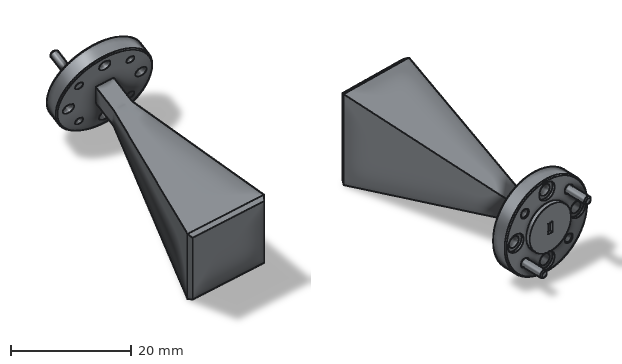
import cadquery as cq
import math

total_length = 46.55
pin_protrusion = 4.7

flange_diameter = 19.05
flange_thickness = 3.25
flange_chamfer = 0.25
boss_diameter = 9.5
boss_height = 0.85

slot_width = 1.02
slot_height = 2.1
slot_depth = 0.6

bolt_circle_radius = 7.1
hole_count = 4
hole_spacing = 360 / hole_count
pin_hole_start = hole_spacing / 2
screw_hole_diameter = 2.25
counterbore_diameter = 3.6
counterbore_depth = 0.5

pin_diameter = 1.6
pin_hole_chamfer = 0.15
pin_chamfer = 0.25
chamfer_angle = 45
first_pin_angle = pin_hole_start + hole_spacing
pin_angles = (first_pin_angle, first_pin_angle + 180)

neck_width = 3.55
neck_height = 4.6
neck_length = 5.6

horn_width = 15.05
horn_height = 18.65
lip_length = 0.85
lip_inset = 0.45
neck_end = flange_thickness + neck_length
mouth_end = total_length - pin_protrusion
lip_start = mouth_end - lip_length


def plane_at(x):
    """YZ plane at x: local x is +Y, local y is +Z, the normal is +X."""
    return cq.Workplane("YZ", origin=(x, 0, 0))


def disc(x, diameter, length):
    return plane_at(x).circle(diameter / 2).extrude(length)


def bolt_point(angle):
    """Y and Z of a place on the bolt circle; the angle runs from +Y to +Z."""
    turn = math.radians(angle)
    return bolt_circle_radius * math.cos(turn), bolt_circle_radius * math.sin(turn)


def bolt_discs(start_angle, diameter, length, taper=0):
    """Discs around the bolt circle that reach into the flange from its mating face."""
    points = [bolt_point(start_angle + i * hole_spacing) for i in range(hole_count)]
    return plane_at(0).pushPoints(points).circle(diameter / 2).extrude(length, taper=taper)


def rectangular_taper(start, end, start_size, end_size):
    """Solid that blends one rectangle into another along X."""
    return (
        plane_at(start)
        .rect(*start_size)
        .workplane(offset=end - start)
        .rect(*end_size)
        .loft(ruled=True)
    )


def make_flange():
    flange = disc(0, flange_diameter, flange_thickness).edges().chamfer(flange_chamfer)
    boss = disc(-boss_height, boss_diameter, boss_height)
    slot = plane_at(-boss_height).rect(slot_width, slot_height).extrude(slot_depth)
    screw_holes = bolt_discs(0, screw_hole_diameter, flange_thickness)
    counterbores = bolt_discs(0, counterbore_diameter, counterbore_depth)
    pin_holes = bolt_discs(pin_hole_start, pin_diameter, flange_thickness)
    countersinks = bolt_discs(
        pin_hole_start, pin_diameter + 2 * pin_hole_chamfer, pin_hole_chamfer, chamfer_angle
    )
    flange = flange.cut(screw_holes).cut(counterbores).cut(pin_holes).cut(countersinks)
    return flange.union(boss).cut(slot)


def make_horn_antenna():
    neck = plane_at(flange_thickness).rect(neck_width, neck_height).extrude(neck_length)
    horn_size = (horn_width, horn_height)
    mouth_size = (horn_width - 2 * lip_inset, horn_height - 2 * lip_inset)
    horn = rectangular_taper(neck_end, lip_start, (neck_width, neck_height), horn_size)
    lip = rectangular_taper(lip_start, mouth_end, horn_size, mouth_size)
    return make_flange().union(neck).union(horn).union(lip)


def make_pin(angle):
    """Dowel pin that fills its hole and stands out of the mating face."""
    y, z = bolt_point(angle)
    pin = disc(-pin_protrusion, pin_diameter, pin_protrusion + flange_thickness)
    return pin.faces("<X").chamfer(pin_chamfer).translate((0, y, z))


horn_antenna = make_horn_antenna()
pins = [make_pin(angle) for angle in pin_angles]

result = cq.Compound.makeCompound([horn_antenna.val(), *[pin.val() for pin in pins]])